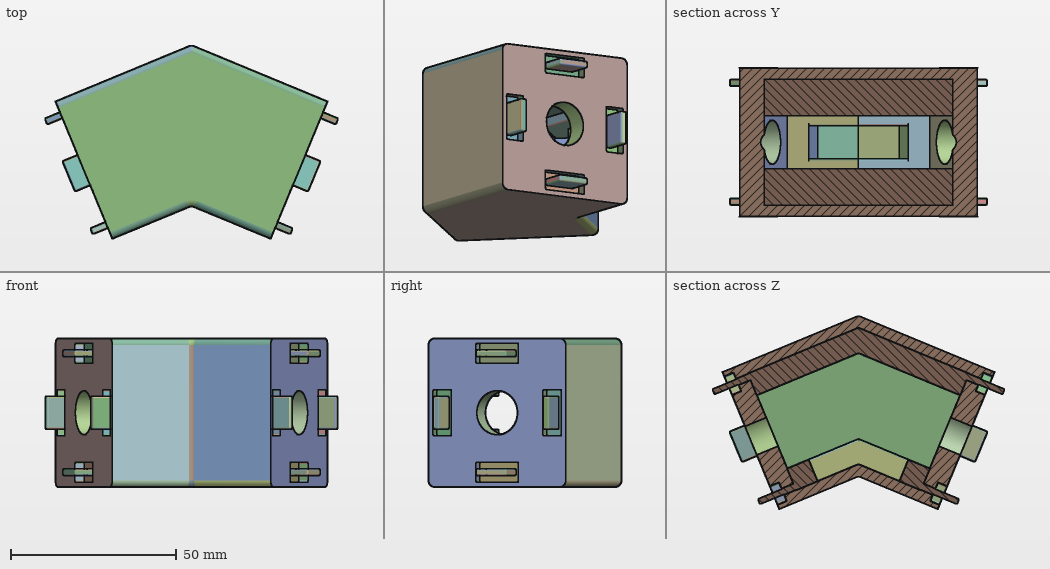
import cadquery as cq
import math

SLOPE = math.radians(22.5)
COS = math.cos(SLOPE)
SIN = math.sin(SLOPE)
SIDES = (-1, 1)
OVERALL_LENGTH = 88.7

WIDTH = 45.0
HALF_WIDTH = WIDTH / 2
AXIS_LENGTH = 35.3
EDGE_RADIUS = 2.0
END_WALL = 7.0
BORE_DIAMETER = 13.3

POCKET_LENGTH = 14.0
POCKET_WIDTH = 6.0
POCKET_DEPTH = 3.0
POCKET_CORNER_RADIUS = 0.5
TABS_PER_END = 4
TAB_INSET = 4.5
TAB_OFFSET = HALF_WIDTH - TAB_INSET
TAB_LENGTH = 10.0
TAB_THICKNESS = 2.0
TAB_EDGE_RADIUS = 0.5

INSERT_AXIS_LENGTH = AXIS_LENGTH - END_WALL
INSERT_HALF_WIDTH = TAB_OFFSET + TAB_THICKNESS / 2
CHANNEL_HALF_WIDTH = 12.0
CHANNEL_HALF_HEIGHT = 8.0
SLOT_MOUTH_RADIUS = 0.5

CORNER_LOSS = TAB_EDGE_RADIUS * (COS + SIN - 1)
TAB_TIP_REACH = (OVERALL_LENGTH / 2 + CORNER_LOSS - INSERT_HALF_WIDTH * SIN) / COS
TAB_PROTRUSION = TAB_TIP_REACH - AXIS_LENGTH


def bent_bar(half_width, half_height, axis_length):
    """Solid mitred elbow of rectangular section, centred on the axes."""
    apex = half_width / COS
    end_x = axis_length * COS
    end_y = -axis_length * SIN
    shift_x = half_width * SIN
    shift_y = half_width * COS
    outline = [
        (0, apex),
        (end_x + shift_x, end_y + shift_y),
        (end_x - shift_x, end_y - shift_y),
        (0, -apex),
        (-end_x + shift_x, end_y - shift_y),
        (-end_x - shift_x, end_y + shift_y),
    ]
    return cq.Workplane("XY").polyline(outline).close().extrude(half_height, both=True)


def leg_direction(side):
    """Unit vector from the mitre out along a leg."""
    return cq.Vector(side * COS, -SIN, 0)


def along_legs():
    """Selector for the edges that run along either leg."""
    left = cq.selectors.ParallelDirSelector(leg_direction(-1))
    right = cq.selectors.ParallelDirSelector(leg_direction(1))
    return left + right


def end_workplane(side):
    """Workplane on an end face: local x runs across the leg towards its outer bend, z points out."""
    outward = leg_direction(side)
    return cq.Workplane(
        cq.Plane(
            origin=(outward * AXIS_LENGTH).toTuple(),
            xDir=(side * SIN, COS, 0),
            normal=outward.toTuple(),
        )
    )


def at_tab_places(end, shape):
    """Copies of a shape, long side along local y, evenly spaced round the centre of an end face."""
    copies = []
    offset_shape = shape.translate((TAB_OFFSET, 0, 0))
    for index in range(TABS_PER_END):
        turned = offset_shape.rotate((0, 0, 0), (0, 0, 1), index * 360 / TABS_PER_END)
        copies.append(turned.val().moved(end.plane.location))
    return copies


def tabs(side):
    """Tabs of one end, with rounded edges, reaching in to the end of the insert."""
    height = END_WALL + TAB_PROTRUSION
    tab = (
        cq.Workplane("XY", origin=(0, 0, -END_WALL))
        .rect(TAB_THICKNESS, TAB_LENGTH)
        .extrude(height)
        .edges("|Z or >Z")
        .fillet(TAB_EDGE_RADIUS)
    )
    return at_tab_places(end_workplane(side), tab)


def pockets(side):
    """Recesses of one end, with rounded corners, that leave a gap round each tab."""
    pocket = (
        cq.Workplane("XY")
        .rect(POCKET_WIDTH, POCKET_LENGTH)
        .extrude(-POCKET_DEPTH)
        .edges("|Z")
        .fillet(POCKET_CORNER_RADIUS)
    )
    return at_tab_places(end_workplane(side), pocket)


def rounded_elbow():
    """Outer shape of the housing: edges along the legs and upright edges of the bend rounded."""
    bend_zone = cq.selectors.BoxSelector(
        (-EDGE_RADIUS, -WIDTH, -EDGE_RADIUS),
        (EDGE_RADIUS, WIDTH, EDGE_RADIUS),
    )
    return (
        bent_bar(HALF_WIDTH, HALF_WIDTH, AXIS_LENGTH)
        .edges(along_legs() + bend_zone)
        .fillet(EDGE_RADIUS)
    )


def make_housing():
    """Hollow elbow with a bore, four pockets and four tab slots in each end wall."""
    body = rounded_elbow().cut(bent_bar(INSERT_HALF_WIDTH, INSERT_HALF_WIDTH, INSERT_AXIS_LENGTH))
    for side in SIDES:
        body = body.cut(end_workplane(side).circle(BORE_DIAMETER / 2).extrude(-END_WALL))
        for opening in pockets(side) + tabs(side):
            body = body.cut(cq.Workplane(opening))
    return body


def inner_bend_slot():
    """Slot through the tube wall on the inside of the bend, as wide as a tab is long."""
    inner_half = cq.Workplane("XY").box(WIDTH, WIDTH, WIDTH).translate((0, -HALF_WIDTH, 0))
    slot_axis_length = INSERT_AXIS_LENGTH - END_WALL
    slot = bent_bar(INSERT_HALF_WIDTH, TAB_LENGTH / 2, slot_axis_length)
    return slot.intersect(inner_half)


def slot_mouth_edges():
    """Selector for the long edges where the slot opens into the channel."""
    mouth_limit = (CHANNEL_HALF_HEIGHT + TAB_LENGTH / 2) / 2
    mouth_zone = cq.selectors.BoxSelector(
        (-WIDTH, -INSERT_HALF_WIDTH, -mouth_limit),
        (WIDTH, -CHANNEL_HALF_WIDTH, mouth_limit),
    )
    return along_legs() & mouth_zone


def make_insert():
    """Bent tube with an open channel, a slot inside the bend and four tabs on each end."""
    body = bent_bar(INSERT_HALF_WIDTH, INSERT_HALF_WIDTH, INSERT_AXIS_LENGTH)
    body = body.cut(bent_bar(CHANNEL_HALF_WIDTH, CHANNEL_HALF_HEIGHT, INSERT_AXIS_LENGTH))
    body = body.cut(inner_bend_slot()).edges(slot_mouth_edges()).fillet(SLOT_MOUTH_RADIUS)
    for side in SIDES:
        for tab in tabs(side):
            body = body.union(cq.Workplane(tab))
    return body


housing = make_housing()
insert = make_insert()
result = cq.Compound.makeCompound([housing.solids().val(), insert.solids().val()])